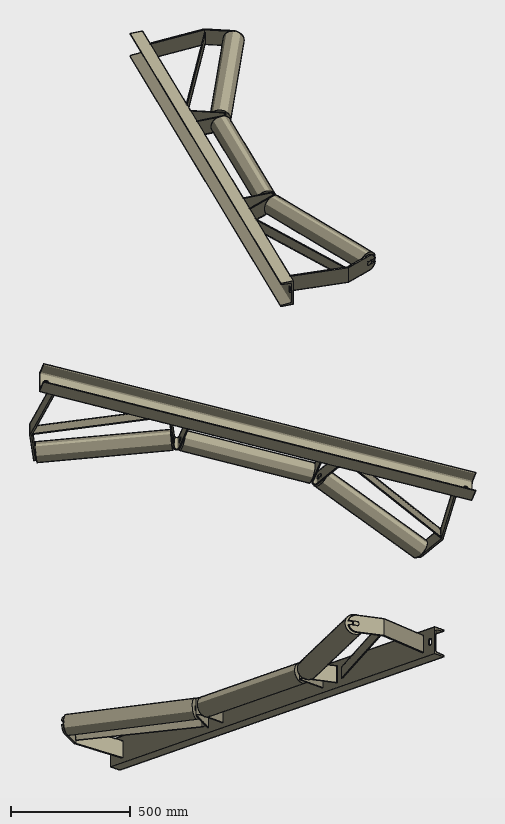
import cadquery as cq
import math


BEAM_LENGTH = 1900.0
BEAM_HEIGHT = 120.0
FLANGE_WIDTH = 55.0
WEB_THICKNESS = 7.0
FLANGE_MID_THICKNESS = 9.0
FLANGE_SLOPE = 0.08
ROOT_RADIUS = 9.0
TOE_RADIUS = 4.5
BOLT_SLOT_WIDTH = 18.0
BOLT_SLOT_HEIGHT = 30.0
BOLT_SLOT_END_DISTANCE = 28.0

ROLLER_DIAMETER = 89.0
ROLLER_LENGTH = 570.0
SHAFT_DIAMETER = 25.0
SHAFT_FLATS = 18.0
TROUGH_ANGLE = 25.0
CENTRE_ROLLER_Y = 114.0
SIDE_ROLLER_INNER_X = 327.0
OVERALL_DEPTH = 461.36

STRIP_WIDTH = 75.0
ROLLER_GAP = 5.0
INNER_THICKNESS = 5.0
INNER_BEND_RADIUS = 14.5
OUTER_THICKNESS = 8.0
OUTER_TIP_HEIGHT = 34.0
OUTER_ARM_DROP = 123.0
POST_LEAN = 5.0
BRACE_THICKNESS = 5.0
BRACE_WIDTH = 50.0
BRACE_ANGLE = 27.8

COS = math.cos(math.radians(TROUGH_ANGLE))
SIN = math.sin(math.radians(TROUGH_ANGLE))
HALF_ROLLER = ROLLER_LENGTH / 2
FACE_OFFSET = HALF_ROLLER + ROLLER_GAP
INNER_SHAFT_END = FACE_OFFSET + INNER_THICKNESS
OUTER_SHAFT_END = FACE_OFFSET + OUTER_THICKNESS
SIDE_ROLLER_X = SIDE_ROLLER_INNER_X + HALF_ROLLER * COS
SIDE_ROLLER_Y = OVERALL_DEPTH - FLANGE_WIDTH - ROLLER_DIAMETER / 2 * COS - HALF_ROLLER * SIN


def side_point(along, across):
    """XY point at these distances from the right roller's centre, along its axis and square to it."""
    return (
        SIDE_ROLLER_X + along * COS - across * SIN,
        SIDE_ROLLER_Y + along * SIN + across * COS,
    )


def place_on_side_axis(body):
    """Move a body built about the origin, axis along X, to the right roller's place."""
    return body.rotate((0, 0, 0), (0, 0, 1), TROUGH_ANGLE).translate((SIDE_ROLLER_X, SIDE_ROLLER_Y, 0))


def extrude_across(outline, width):
    """Extrude a closed XY outline to a width centred on Z = 0."""
    return outline.extrude(width).translate((0, 0, -width / 2))


def make_beam():
    half_height = BEAM_HEIGHT / 2
    half_flange = FLANGE_WIDTH / 2
    toe_z = half_height - FLANGE_MID_THICKNESS + FLANGE_SLOPE * half_flange
    root_z = half_height - FLANGE_MID_THICKNESS - FLANGE_SLOPE * (half_flange - WEB_THICKNESS)
    beam = (
        cq.Workplane("YZ")
        .moveTo(0, -half_height)
        .lineTo(0, half_height)
        .lineTo(-FLANGE_WIDTH, half_height)
        .lineTo(-FLANGE_WIDTH, toe_z)
        .lineTo(-WEB_THICKNESS, root_z)
        .lineTo(-WEB_THICKNESS, -root_z)
        .lineTo(-FLANGE_WIDTH, -toe_z)
        .lineTo(-FLANGE_WIDTH, -half_height)
        .close()
        .extrude(BEAM_LENGTH)
        .translate((-BEAM_LENGTH / 2, 0, 0))
    )
    for side in (-1, 1):
        root = cq.selectors.NearestToPointSelector((0, -WEB_THICKNESS, side * root_z))
        beam = beam.edges("|X").edges(root).fillet(ROOT_RADIUS)
        toe = cq.selectors.NearestToPointSelector((0, -FLANGE_WIDTH, side * toe_z))
        beam = beam.edges("|X").edges(toe).fillet(TOE_RADIUS)

    slot_x = BEAM_LENGTH / 2 - BOLT_SLOT_END_DISTANCE
    bolt_slots = (
        cq.Workplane("XZ")
        .pushPoints([(-slot_x, 0), (slot_x, 0)])
        .slot2D(BOLT_SLOT_HEIGHT, BOLT_SLOT_WIDTH, 90)
        .extrude(WEB_THICKNESS)
    )
    return beam.cut(bolt_slots)


def make_roller(start_shaft_end, finish_shaft_end):
    """Roller along X about the origin, with flatted shaft ends reaching these distances."""
    shaft = (
        cq.Workplane("YZ")
        .workplane(offset=-start_shaft_end)
        .circle(SHAFT_DIAMETER / 2)
        .extrude(start_shaft_end + finish_shaft_end)
    )
    flats = cq.Workplane("XY").box(2 * OUTER_SHAFT_END, SHAFT_DIAMETER, SHAFT_FLATS)
    drum = (
        cq.Workplane("YZ")
        .workplane(offset=-HALF_ROLLER)
        .circle(ROLLER_DIAMETER / 2)
        .extrude(ROLLER_LENGTH)
    )
    return shaft.intersect(flats).union(drum)


def make_inner_bracket():
    """Inverted U strip between the centre roller and the right one, one leg square to each axis."""
    bend_x = FACE_OFFSET + INNER_BEND_RADIUS
    face_x, face_y = side_point(-FACE_OFFSET, 0)
    bend_y = face_y + ((face_x - bend_x) * COS - INNER_BEND_RADIUS) / SIN
    crown = math.radians(90 + TROUGH_ANGLE / 2)

    def filled_bend(radius):
        leg_top_x = bend_x + radius * COS
        leg_top_y = bend_y + radius * SIN
        outline = (
            cq.Workplane("XY")
            .moveTo(bend_x - radius, 0)
            .lineTo(bend_x - radius, bend_y)
            .threePointArc(
                (bend_x + radius * math.cos(crown), bend_y + radius * math.sin(crown)),
                (leg_top_x, leg_top_y),
            )
            .lineTo(leg_top_x + leg_top_y * SIN / COS, 0)
            .close()
        )
        return extrude_across(outline, STRIP_WIDTH)

    return filled_bend(INNER_BEND_RADIUS).cut(filled_bend(INNER_BEND_RADIUS - INNER_THICKNESS))


def make_outer_bracket():
    """Bent strip: a post from the beam and an arm square to the right roller's axis."""
    lean = math.radians(POST_LEAN)
    miter = OUTER_THICKNESS * math.tan((math.radians(TROUGH_ANGLE) + lean) / 2)
    inner_bend = side_point(FACE_OFFSET, -OUTER_ARM_DROP)
    outer_bend = side_point(OUTER_SHAFT_END, -OUTER_ARM_DROP - miter)
    outline = cq.Workplane("XY").polyline(
        [
            side_point(FACE_OFFSET, OUTER_TIP_HEIGHT),
            inner_bend,
            (inner_bend[0] - inner_bend[1] * math.tan(lean), 0),
            (outer_bend[0] - outer_bend[1] * math.tan(lean), 0),
            outer_bend,
            side_point(OUTER_SHAFT_END, OUTER_TIP_HEIGHT),
        ]
    ).close()
    strip = extrude_across(outline, STRIP_WIDTH)

    half_width = STRIP_WIDTH / 2
    round_start = OUTER_TIP_HEIGHT - half_width
    rounded_end = (
        cq.Workplane("YZ")
        .moveTo(-OVERALL_DEPTH, -half_width)
        .lineTo(round_start, -half_width)
        .threePointArc((OUTER_TIP_HEIGHT, 0), (round_start, half_width))
        .lineTo(-OVERALL_DEPTH, half_width)
        .close()
        .extrude(ROLLER_LENGTH)
    )
    shaft_slot = (
        cq.Workplane("XY")
        .box(ROLLER_LENGTH, OUTER_TIP_HEIGHT, SHAFT_FLATS)
        .translate((FACE_OFFSET, OUTER_TIP_HEIGHT / 2, 0))
    )
    return strip.intersect(place_on_side_axis(rounded_end)).cut(place_on_side_axis(shaft_slot))


def make_brace():
    """Flat bar from the bend of the outer bracket down to the beam."""
    angle = math.radians(BRACE_ANGLE)
    end_length = BRACE_THICKNESS / math.cos(angle - math.radians(TROUGH_ANGLE))
    lower_end = side_point(FACE_OFFSET, -OUTER_ARM_DROP)
    upper_end = side_point(FACE_OFFSET, -OUTER_ARM_DROP + end_length)
    outline = cq.Workplane("XY").polyline(
        [
            lower_end,
            upper_end,
            (upper_end[0] - upper_end[1] / math.tan(angle), 0),
            (lower_end[0] - lower_end[1] / math.tan(angle), 0),
        ]
    ).close()
    return extrude_across(outline, BRACE_WIDTH)


beam = make_beam()
centre_roller = make_roller(INNER_SHAFT_END, INNER_SHAFT_END).translate((0, CENTRE_ROLLER_Y, 0))
side_roller = place_on_side_axis(make_roller(INNER_SHAFT_END, OUTER_SHAFT_END))

inner_bracket = make_inner_bracket().cut(centre_roller).cut(side_roller)
outer_bracket = make_outer_bracket().cut(side_roller)
brace = make_brace()

bodies = [beam.val(), centre_roller.val()]
for right_body in (side_roller, inner_bracket, outer_bracket, brace):
    left_body = right_body.mirror("YZ")
    bodies += [*right_body.solids().vals(), *left_body.solids().vals()]

result = cq.Compound.makeCompound(bodies)